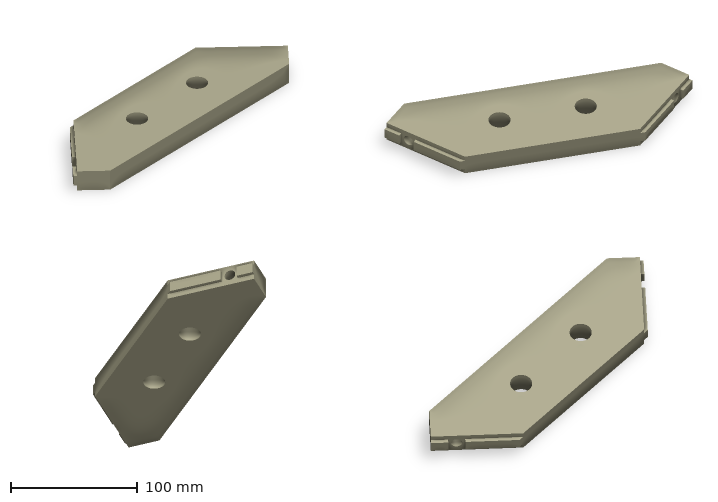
import cadquery as cq
import math

width = 70.0
length = 249.2
thickness = 18.0

tongue_height = 9.0
tongue_projection = 3.0
tongue_length = 70.0
gap_start = 42.9
gap_length = 13.5

mounting_hole_diameter = 17.5
mounting_hole_spacing = 69.8
end_hole_diameter = 9.0
end_hole_depth = 30.0

left = -width / 2
right = width / 2
diagonal = math.sqrt(0.5)
tongue_shift = tongue_projection * diagonal

tip_x = left + tongue_length * diagonal + tongue_shift
tip_y = length / 2 - tongue_shift
left_corner_y = tip_y - (tip_x - left)
right_corner_y = tip_y - (right - tip_x)


def make_plate():
    """Six-sided plate with a right-angled point at each end."""
    outline = [
        (left, -left_corner_y),
        (tip_x, -tip_y),
        (right, -right_corner_y),
        (right, right_corner_y),
        (tip_x, tip_y),
        (left, left_corner_y),
    ]
    plate = cq.Workplane("XY").workplane(offset=-thickness / 2)
    return plate.polyline(outline).close().extrude(thickness)


def point_along_end(distance, projection):
    """Point on the +Y end, measured along the tongue crest from the left side.

    Projection is the height above the sloping end face.
    """
    crest_corner_y = left_corner_y + 2 * tongue_shift
    drop = (tongue_projection - projection) * diagonal
    return (
        left + distance * diagonal + drop,
        crest_corner_y + distance * diagonal - drop,
    )


def make_tongue():
    """Two-piece tongue on the +Y end, rooted in the sloping face."""
    gap_end = gap_start + gap_length
    long_piece = [
        (left, left_corner_y),
        point_along_end(0, tongue_projection),
        point_along_end(gap_start, tongue_projection),
        point_along_end(gap_start, 0),
    ]
    short_piece = [
        point_along_end(gap_end, 0),
        point_along_end(gap_end, tongue_projection),
        point_along_end(tongue_length, tongue_projection),
        point_along_end(tongue_length, 0),
    ]
    base = cq.Workplane("XY").workplane(offset=-tongue_height / 2)
    return base.polyline(long_piece).close().polyline(short_piece).close().extrude(tongue_height)


def make_end_hole():
    """Blind hole square to the +Y end face, midway along the tongue gap."""
    hole_x, hole_y = point_along_end(gap_start + gap_length / 2, 0)
    face = cq.Plane(origin=(hole_x, hole_y, 0), xDir=(0, 0, 1), normal=(1, -1, 0))
    return cq.Workplane(face).circle(end_hole_diameter / 2).extrude(end_hole_depth)


tongue = make_tongue()
end_hole = make_end_hole()
mounting_holes = (
    cq.Workplane("XY")
    .workplane(offset=-thickness / 2)
    .rarray(2.5, mounting_hole_spacing, 1, 2)
    .circle(mounting_hole_diameter / 2)
    .extrude(thickness)
)

result = (
    make_plate()
    .union(tongue)
    .union(tongue.mirror("XZ"))
    .cut(end_hole)
    .cut(end_hole.mirror("XZ"))
    .cut(mounting_holes)
)